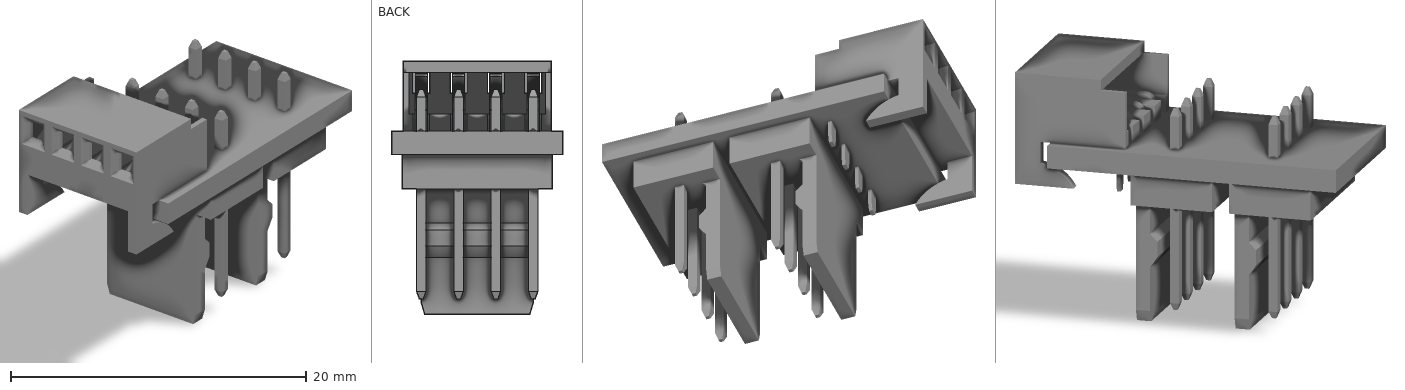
import cadquery as cq
import math


board_width = 11.62
board_front = 2.53
board_back = 23.0
board_thickness = 1.59

ways = 4
pitch = 2.53
way_places = [(way - (ways - 1) / 2) * pitch for way in range(ways)]

header_fronts = [8.21, 15.2]
block_width = 10.17
block_depth = 5.8
block_height = 2.32
pin_setback = 2.83
pin_size = 0.65
pin_tip_size = 0.28
pin_taper_height = 0.5
pin_top = 4.42
pin_bottom = -9.78
blade_width = 7.6
blade_thickness = 1.01
blade_bottom = -10.84
blade_corner_width = 0.23
blade_corner_height = 0.78
blade_root_radius = 0.37
latch_depth = 0.5
latch_top = -4.63
latch_flat_top = -5.13
latch_flat_bottom = -6.21
latch_bottom = -6.97

housing_width = 10.05
housing_depth = 7.85
housing_top = 6.33
roof_depth = 6.1
side_wall = 0.4
front_wall = 0.7
chamber_floor = 2.75
chamber_ceiling = 5.55

funnel_width = 1.93
funnel_bottom = 3.8
funnel_top = 5.95
funnel_depth = 0.41
throat_width = 1.13
throat_bottom = 4.16
throat_top = 5.55

leg_thickness = 0.74
leg_depth = 1.8
leg_bottom = -1.52
hook_top = 0.07
hook_middle = (3.25, -0.5)
hook_reach = 4.15

strip_width = 0.85
strip_thickness = 0.25
bend_radius = 0.45
tail_front = 6.95
tail_bottom = -1.73
tail_tip_width = 0.53
tail_taper_height = 0.62
fold_center_y = 1.47
spring_angle = 29.0
spring_tip_top = 5.52


def box(x_center, x_size, y_range, z_range):
    """A box centred at x_center in X, between two Y values and two Z values."""
    (y_low, y_high), (z_low, z_high) = y_range, z_range
    size = (x_size, y_high - y_low, z_high - z_low)
    corner = (x_center - x_size / 2, y_low, z_low)
    return cq.Workplane("XY").box(*size, centered=False).translate(corner)


def extrude_along_x(profile, width, x_center=0):
    """Extrude a profile of the YZ plane to both sides of x_center."""
    return profile.extrude(width / 2, both=True).translate((x_center, 0, 0))


def make_pin(x, y):
    """A square pin with a tapered tip at both ends."""
    shoulder_top = pin_top - pin_taper_height
    shoulder_bottom = pin_bottom + pin_taper_height
    taper_angle = math.degrees(math.atan((pin_size - pin_tip_size) / 2 / pin_taper_height))
    shank = (
        cq.Workplane("XY", origin=(x, y, shoulder_bottom))
        .rect(pin_size, pin_size)
        .extrude(shoulder_top - shoulder_bottom)
    )
    top_tip = (
        cq.Workplane("XY", origin=(x, y, shoulder_top))
        .rect(pin_size, pin_size)
        .extrude(pin_taper_height, taper=taper_angle)
    )
    bottom_tip = (
        cq.Workplane("XY", origin=(x, y, shoulder_bottom))
        .rect(pin_size, pin_size)
        .extrude(-pin_taper_height, taper=taper_angle)
    )
    return shank.union(top_tip).union(bottom_tip)


def make_blade(front):
    """The latch blade: flush with the block's front, with a latch ridge along its back."""
    back = front + blade_thickness
    root = -block_height
    profile = (
        cq.Workplane("YZ")
        .moveTo(front, root)
        .lineTo(back + blade_root_radius, root)
        .radiusArc((back, root - blade_root_radius), -blade_root_radius)
        .lineTo(back, latch_top)
        .lineTo(back + latch_depth, latch_flat_top)
        .lineTo(back + latch_depth, latch_flat_bottom)
        .lineTo(back, latch_bottom)
        .lineTo(back, blade_bottom)
        .lineTo(front, blade_bottom)
        .close()
    )
    blade = extrude_along_x(profile, blade_width)
    half_width = blade_width / 2
    for side in (-1, 1):
        corner = (
            cq.Workplane("XZ", origin=(0, front, 0))
            .moveTo(side * half_width, blade_bottom)
            .lineTo(side * (half_width - blade_corner_width), blade_bottom)
            .lineTo(side * half_width, blade_bottom + blade_corner_height)
            .close()
            .extrude(-blade_thickness)
        )
        blade = blade.cut(corner)
    return blade


def make_header(front):
    """One pin header, with its block against the underside of the board."""
    header = box(0, block_width, (front, front + block_depth), (-block_height, 0))
    header = header.union(make_blade(front))
    for x in way_places:
        header = header.union(make_pin(x, front + pin_setback))
    return header


def make_wire_entry(x):
    """The cutter for one wire entry through the front wall."""
    funnel_middle = (funnel_bottom + funnel_top) / 2
    throat_middle = (throat_bottom + throat_top) / 2
    funnel = (
        cq.Workplane("XZ", origin=(x, 0, 0))
        .center(0, funnel_middle)
        .rect(funnel_width, funnel_top - funnel_bottom)
        .workplane(offset=-funnel_depth)
        .center(0, throat_middle - funnel_middle)
        .rect(throat_width, throat_top - throat_bottom)
        .loft(ruled=True)
    )
    throat = box(x, throat_width, (funnel_depth, front_wall), (throat_bottom, throat_top))
    return funnel.union(throat)


def make_tail_notch(x):
    """The cutter for a contact's tail at the back of the floor, with a rounded inner edge."""
    profile = (
        cq.Workplane("YZ")
        .moveTo(housing_depth, board_thickness)
        .lineTo(tail_front, board_thickness)
        .lineTo(tail_front, chamber_floor - bend_radius)
        .radiusArc((tail_front - bend_radius, chamber_floor), -bend_radius)
        .lineTo(housing_depth, chamber_floor)
        .close()
    )
    return extrude_along_x(profile, throat_width, x)


def make_leg(side):
    """A leg at one end of the housing, with its hook below the board."""
    profile = (
        cq.Workplane("YZ")
        .moveTo(0, board_thickness)
        .lineTo(leg_depth, board_thickness)
        .lineTo(leg_depth, hook_top)
        .threePointArc(hook_middle, (hook_reach, leg_bottom))
        .lineTo(0, leg_bottom)
        .close()
    )
    return extrude_along_x(profile, leg_thickness, side * (housing_width - leg_thickness) / 2)


def make_tail(x):
    """The straight tail of a contact, tapered to its tip below the board."""
    rear_bend_bottom = chamber_floor - bend_radius
    taper_top = tail_bottom + tail_taper_height
    return (
        cq.Workplane("XZ", origin=(x, tail_front, 0))
        .moveTo(-strip_width / 2, rear_bend_bottom)
        .lineTo(-strip_width / 2, taper_top)
        .lineTo(-tail_tip_width / 2, tail_bottom)
        .lineTo(tail_tip_width / 2, tail_bottom)
        .lineTo(strip_width / 2, taper_top)
        .lineTo(strip_width / 2, rear_bend_bottom)
        .close()
        .extrude(-strip_thickness)
    )


def make_contact(x):
    """A contact whose strip lies on the chamber floor and folds back into a rising spring."""
    outer_radius = bend_radius + strip_thickness
    flat_top = chamber_floor + strip_thickness
    rear_bend_y = tail_front - bend_radius
    rear_bend_z = chamber_floor - bend_radius
    fold_z = chamber_floor + outer_radius
    slope = math.radians(spring_angle)

    def on_fold(radius, angle):
        """The point of the front fold at an angle from +Y toward +Z."""
        return (fold_center_y + radius * math.cos(angle), fold_z + radius * math.sin(angle))

    def along_spring(start, length):
        """The point at a length up the spring's slope from its start."""
        return (start[0] + length * math.cos(slope), start[1] + length * math.sin(slope))

    spring_start_angle = slope + math.pi / 2
    fold_middle_angle = math.pi
    spring_outer = on_fold(outer_radius, spring_start_angle)
    spring_inner = on_fold(bend_radius, spring_start_angle)
    spring_length = (spring_tip_top - spring_outer[1]) / math.sin(slope)

    profile = (
        cq.Workplane("YZ")
        .moveTo(tail_front, rear_bend_z)
        .radiusArc((rear_bend_y, chamber_floor), -bend_radius)
        .lineTo(fold_center_y, chamber_floor)
        .threePointArc(on_fold(outer_radius, fold_middle_angle), spring_outer)
        .lineTo(*along_spring(spring_outer, spring_length))
        .lineTo(*along_spring(spring_inner, spring_length))
        .lineTo(*spring_inner)
        .threePointArc(on_fold(bend_radius, fold_middle_angle), (fold_center_y, flat_top))
        .lineTo(rear_bend_y, flat_top)
        .radiusArc((tail_front + strip_thickness, rear_bend_z), outer_radius)
        .close()
    )
    return extrude_along_x(profile, strip_width, x).union(make_tail(x))


def make_socket():
    """The wire socket: a hollow housing open at the back, its legs and its contacts."""
    socket = box(0, housing_width, (0, housing_depth), (board_thickness, housing_top))
    chamber_width = housing_width - 2 * side_wall
    socket = socket.cut(
        box(0, housing_width, (roof_depth, housing_depth), (chamber_ceiling, housing_top))
    )
    socket = socket.cut(
        box(0, chamber_width, (front_wall, housing_depth), (chamber_floor, chamber_ceiling))
    )
    for x in way_places:
        socket = socket.cut(make_wire_entry(x)).cut(make_tail_notch(x))
    for side in (-1, 1):
        socket = socket.union(make_leg(side))
    for x in way_places:
        socket = socket.union(make_contact(x))
    return socket


def make_board():
    """The board, with a close-fitting hole for every header pin and contact tail."""
    through = (0, board_thickness)
    board = box(0, board_width, (board_front, board_back), through)
    half_pin = pin_size / 2
    for x in way_places:
        for front in header_fronts:
            pin_y = front + pin_setback
            board = board.cut(box(x, pin_size, (pin_y - half_pin, pin_y + half_pin), through))
        board = board.cut(box(x, strip_width, (tail_front, tail_front + strip_thickness), through))
    return board


board = make_board()
headers = [make_header(front) for front in header_fronts]
socket = make_socket()

result = cq.Compound.makeCompound(
    [board.val(), *[header.val() for header in headers], socket.val()]
)